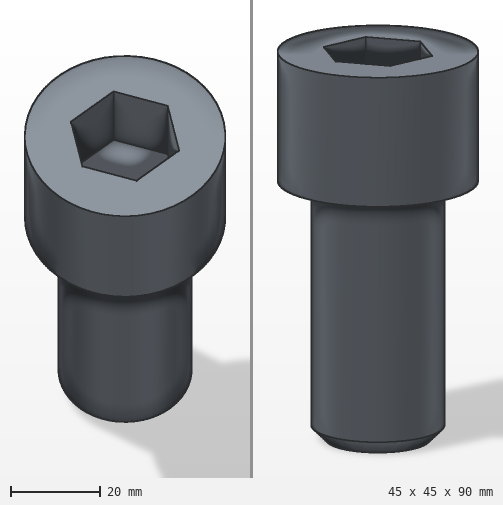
import cadquery as cq

total_length = 90.0
head_diameter = 45.0
head_height = 30.0
shank_diameter = 30.0
shank_length = total_length - head_height
tip_chamfer = 3.3

socket_corner_diameter = 25.6
socket_depth = 18.0


def make_head():
    return cq.Workplane("XY").circle(head_diameter / 2).extrude(head_height)


def make_shank():
    shank = cq.Workplane("XY").circle(shank_diameter / 2).extrude(-shank_length)
    return shank.faces("<Z").chamfer(tip_chamfer)


def make_socket():
    hexagon = cq.Workplane("XY").workplane(offset=head_height).polygon(6, socket_corner_diameter)
    return hexagon.extrude(-socket_depth)


result = make_head().union(make_shank()).cut(make_socket())